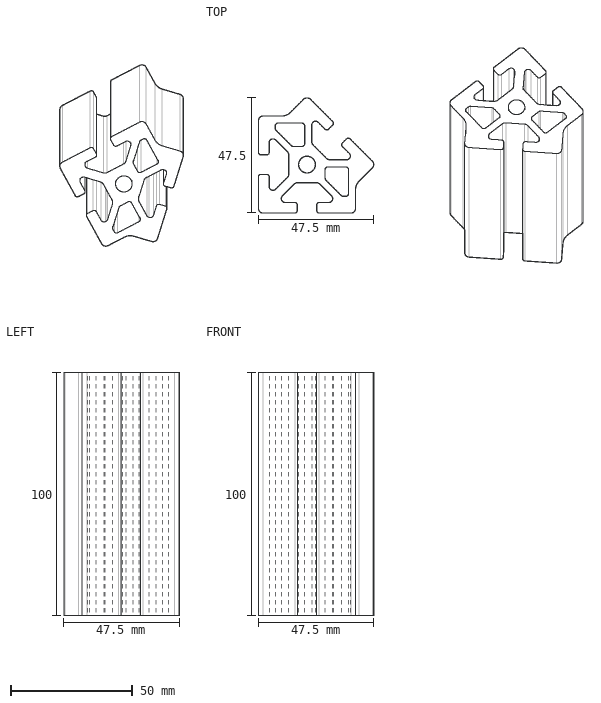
import cadquery as cq
import math

length = 100
face_distance = 20
bore_diameter = 6.8
slot_opening = 8
lip_thickness = 4.5
slot_floor = 7.5
slot_inner_width = 21
web_half_thickness = 2
web_thickness = 3
outer_wall = 3
hollow_end = 13

tip_radius = 2
valley_radius = 5
lip_radius = 1
slot_end_radius = 1.4
floor_radius = 2
hollow_radius = 1

tip = face_distance * math.sqrt(2)
valley = tip - face_distance
outline = [
    (-face_distance, -face_distance),
    (face_distance, -face_distance),
    (face_distance, -valley),
    (tip, 0),
    (0, tip),
    (-valley, face_distance),
    (-face_distance, face_distance),
]
diagonal_offset = web_half_thickness * math.sqrt(2)


def extrude_outline(points):
    """Extrude a closed outline along the full length."""
    return cq.Workplane("XY").polyline(points).close().extrude(length)


def round_edges(body, places, radius):
    """Round the lengthwise edges that pass through the given XY places."""
    for x, y in places:
        edge = cq.selectors.NearestToPointSelector((x, y, length / 2))
        body = body.edges("|Z").edges(edge).fillet(radius)
    return body


def make_body():
    body = extrude_outline(outline)
    valleys = [(face_distance, -valley), (-valley, face_distance)]
    tips = [point for point in outline if point not in valleys]
    body = round_edges(body, tips, tip_radius)
    return round_edges(body, valleys, valley_radius)


def cut_slot(body, angle):
    """Cut a T-slot in the -Y face, turned about the bore axis by the angle."""
    half_opening = slot_opening / 2
    half_inner = slot_inner_width / 2
    lip_inside = face_distance - lip_thickness
    right_half = [
        (half_opening, -face_distance),
        (half_opening, -lip_inside),
        (half_inner, -lip_inside),
        (half_inner, -half_inner - diagonal_offset),
        (slot_floor - diagonal_offset, -slot_floor),
    ]
    left_half = [(-x, y) for x, y in reversed(right_half)]
    slot = extrude_outline(right_half + left_half)

    mouth, lip, inner_end, wall_end, floor = [[(x, y), (-x, y)] for x, y in right_half]
    slot = round_edges(slot, inner_end + wall_end, slot_end_radius)
    slot = round_edges(slot, floor, floor_radius)

    turn = math.radians(angle)
    lip_edges = [
        (x * math.cos(turn) - y * math.sin(turn), x * math.sin(turn) + y * math.cos(turn))
        for x, y in mouth + lip
    ]
    body = body.cut(slot.rotate((0, 0, 0), (0, 0, 1), angle))
    return round_edges(body, lip_edges, lip_radius)


def make_hollow():
    """Closed hollow between the -X slot and the 45 degree slot."""
    inner_x = web_half_thickness - web_thickness
    outer_y = face_distance - outer_wall
    diagonal_sum = web_thickness * math.sqrt(2) - diagonal_offset
    corners = [
        (inner_x, slot_floor),
        (inner_x, outer_y),
        (-hollow_end, outer_y),
        (-hollow_end, diagonal_sum + hollow_end),
        (diagonal_sum - slot_floor, slot_floor),
    ]
    return extrude_outline(corners).edges("|Z").fillet(hollow_radius)


profile = make_body()
for slot_angle in (0, -90, 135):
    profile = cut_slot(profile, slot_angle)

hollow = make_hollow()
mirrored_hollow = hollow.mirror("YZ").rotate((0, 0, 0), (0, 0, 1), -90)
profile = profile.cut(hollow).cut(mirrored_hollow)

bore = cq.Workplane("XY").circle(bore_diameter / 2).extrude(length)
result = profile.cut(bore)